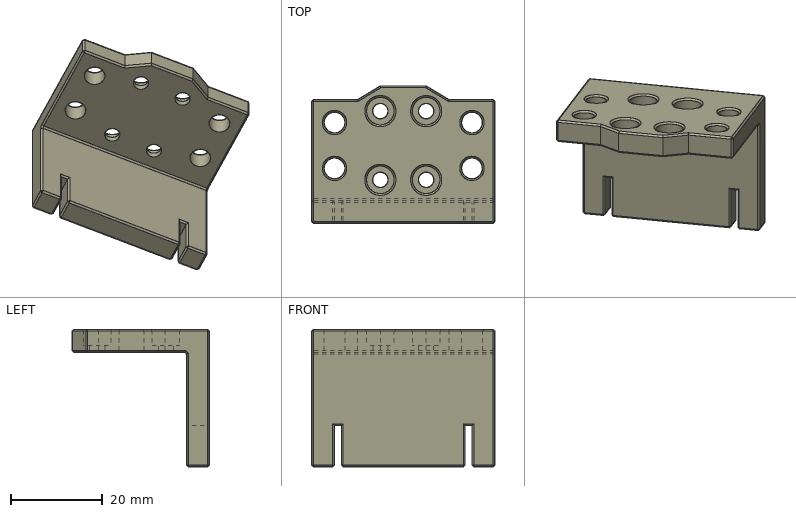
import cadquery as cq

WIDTH = 40.0
HEIGHT = 30.0
PLATE_DEPTH = 27.0
THICKNESS = 5.0
EDGE_BREAK = 0.4

TAB_REACH = 3.0
TAB_TIP_WIDTH = 10.0
TAB_BASE_WIDTH = 20.0

SLOT_WIDTH = 1.5
SLOT_HEIGHT = 9.0
PRONG_WIDTH = 5.0

SIDE_HOLE_DIAMETER = 4.5
SIDE_HOLE_SPACING_X = 30.0
SIDE_HOLE_ROWS_Y = (12.0, 22.0)

SCREW_DIAMETER = 3.3
COUNTERBORE_DIAMETER = 6.0
COUNTERBORE_DEPTH = 3.5
SCREW_SPACING_X = 10.0
SCREW_ROWS_Y = (9.5, 24.5)

POSITION_TOLERANCE = 0.01


def make_plate():
    """Horizontal plate with the tapered tab on its +Y edge."""
    tab_end = PLATE_DEPTH + TAB_REACH
    outline = [
        (-WIDTH / 2, 0),
        (WIDTH / 2, 0),
        (WIDTH / 2, PLATE_DEPTH),
        (TAB_BASE_WIDTH / 2, PLATE_DEPTH),
        (TAB_TIP_WIDTH / 2, tab_end),
        (-TAB_TIP_WIDTH / 2, tab_end),
        (-TAB_BASE_WIDTH / 2, PLATE_DEPTH),
        (-WIDTH / 2, PLATE_DEPTH),
    ]
    plate = cq.Workplane("XY").workplane(offset=HEIGHT - THICKNESS)
    return plate.polyline(outline).close().extrude(THICKNESS)


def make_leg():
    """Vertical leg with both slots cut up from its foot."""
    leg = cq.Workplane("XY").box(WIDTH, THICKNESS, HEIGHT, centered=(True, False, False))
    slot_x = WIDTH / 2 - PRONG_WIDTH - SLOT_WIDTH / 2
    slots = (
        cq.Workplane("XY")
        .pushPoints([(-slot_x, THICKNESS / 2), (slot_x, THICKNESS / 2)])
        .rect(SLOT_WIDTH, THICKNESS)
        .extrude(SLOT_HEIGHT)
    )
    return leg.cut(slots)


def make_inner_corner_fill():
    """Small 45 degree web in the corner between the leg and the plate."""
    underside = HEIGHT - THICKNESS
    return (
        cq.Workplane("YZ")
        .workplane(offset=-WIDTH / 2)
        .moveTo(THICKNESS, underside)
        .lineTo(THICKNESS + EDGE_BREAK, underside)
        .lineTo(THICKNESS, underside - EDGE_BREAK)
        .close()
        .extrude(WIDTH)
    )


def near(value, target):
    return abs(value - target) < POSITION_TOLERANCE


def is_broken_edge(edge):
    """True for outer corners; tab verticals and all inside corners stay sharp."""
    center = edge.Center()
    box = edge.BoundingBox()
    runs_along_x = near(box.ylen, 0) and near(box.zlen, 0)
    runs_along_y = near(box.xlen, 0) and near(box.zlen, 0)
    runs_along_z = near(box.xlen, 0) and near(box.ylen, 0)

    if runs_along_x:
        on_leg_side_of_web = near(center.z, HEIGHT - THICKNESS - EDGE_BREAK)
        on_plate_side_of_web = near(center.y, THICKNESS + EDGE_BREAK)
        return not (on_leg_side_of_web or on_plate_side_of_web)
    if runs_along_y:
        at_slot_top = near(center.z, SLOT_HEIGHT)
        return not at_slot_top
    if runs_along_z:
        on_tab_side = center.y > PLATE_DEPTH - POSITION_TOLERANCE
        at_plate_corner = near(abs(center.x), WIDTH / 2)
        return at_plate_corner or not on_tab_side
    return True


def break_edges(body):
    edges = [edge for edge in body.edges().vals() if is_broken_edge(edge)]
    return body.newObject(edges).chamfer(EDGE_BREAK)


def hole_centers(spacing_x, rows_y):
    return [(side * spacing_x / 2, y) for side in (-1, 1) for y in rows_y]


def make_hole_cutter(centers, diameter, depth):
    """Round cutters sunk from the plate top, flared by a countersunk mouth."""
    top = cq.Workplane("XY").workplane(offset=HEIGHT).pushPoints(centers)
    bores = top.circle(diameter / 2).extrude(-depth)
    mouths = top.circle(diameter / 2 + EDGE_BREAK).extrude(-EDGE_BREAK, taper=45)
    return bores.union(mouths)


def drill_plate(body):
    side_centers = hole_centers(SIDE_HOLE_SPACING_X, SIDE_HOLE_ROWS_Y)
    screw_centers = hole_centers(SCREW_SPACING_X, SCREW_ROWS_Y)
    screw_shanks = (
        cq.Workplane("XY")
        .workplane(offset=HEIGHT)
        .pushPoints(screw_centers)
        .circle(SCREW_DIAMETER / 2)
        .extrude(-THICKNESS)
    )
    body = body.cut(make_hole_cutter(side_centers, SIDE_HOLE_DIAMETER, THICKNESS))
    body = body.cut(make_hole_cutter(screw_centers, COUNTERBORE_DIAMETER, COUNTERBORE_DEPTH))
    return body.cut(screw_shanks)


bracket = make_plate().union(make_leg()).union(make_inner_corner_fill()).clean()
result = drill_plate(break_edges(bracket))